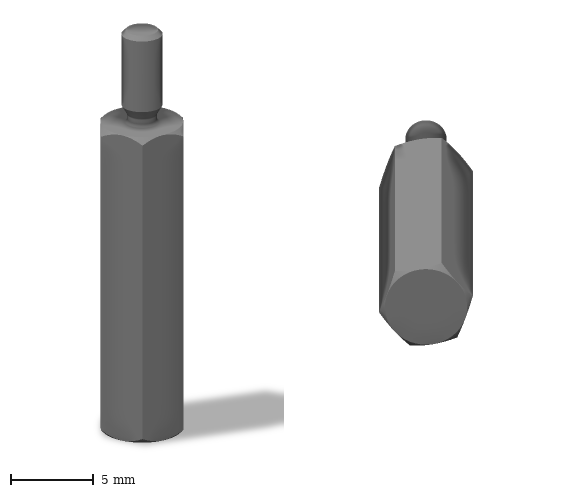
import cadquery as cq
import math

total_height = 26.0
stud_length = 6.0
across_flats = 5.0

body_height = total_height - stud_length
across_corners = across_flats / math.cos(math.radians(30))
corner_radius = across_corners / 2
bevel_face_radius = 4.97 / 2
bevel_height = corner_radius - bevel_face_radius

stud_radius = 2.5 / 2
tip_radius = 1.95 / 2
tip_chamfer = stud_radius - tip_radius

neck_radius = 1.8 / 2
undercut_length = 1.12
neck_fillet = 0.18
runout_angle = 30


def make_body():
    """Hexagonal prism with both ends turned to a 45 degree bevel."""
    prism = cq.Workplane("XY").polygon(6, across_corners).extrude(body_height)
    bevel_envelope = (
        cq.Workplane("XY")
        .circle(corner_radius)
        .extrude(body_height)
        .faces("<Z or >Z")
        .chamfer(bevel_height)
    )
    return prism.intersect(bevel_envelope)


def make_stud():
    """Revolved stud with a filleted neck, a run-out cone and a chamfered tip."""
    runout_height = (stud_radius - neck_radius) / math.tan(math.radians(runout_angle))
    shoulder_z = body_height + undercut_length
    cone_foot_z = shoulder_z - runout_height

    upper_start_z = cone_foot_z - neck_fillet * math.tan(math.radians(runout_angle / 2))
    lower_start_z = body_height + neck_fillet

    def fillet_point(start_z, angle):
        """Point on a fillet arc leaving the neck at start_z; a positive angle turns upward."""
        turn = math.radians(angle)
        return (
            neck_radius + neck_fillet * (1 - math.cos(turn)),
            start_z + neck_fillet * math.sin(turn),
        )

    profile = (
        cq.Workplane("XZ")
        .moveTo(0, body_height)
        .lineTo(*fillet_point(lower_start_z, -90))
        .threePointArc(fillet_point(lower_start_z, -45), (neck_radius, lower_start_z))
        .lineTo(neck_radius, upper_start_z)
        .threePointArc(
            fillet_point(upper_start_z, runout_angle / 2),
            fillet_point(upper_start_z, runout_angle),
        )
        .lineTo(stud_radius, shoulder_z)
        .lineTo(stud_radius, total_height - tip_chamfer)
        .lineTo(tip_radius, total_height)
        .lineTo(0, total_height)
        .close()
    )
    return profile.revolve(360, (0, 0, 0), (0, 1, 0))


result = make_body().union(make_stud())